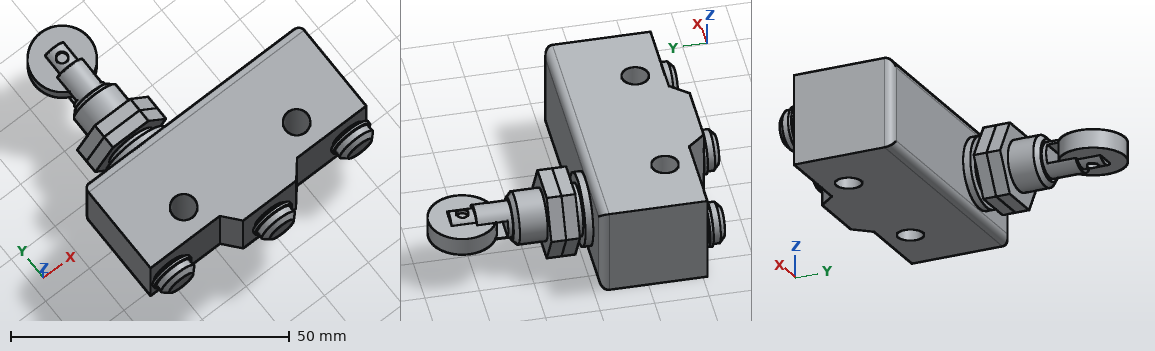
import cadquery as cq
import math


housing_width = 49.2
housing_height = 17.5
housing_depth = 19.6
housing_fillet = 1.6
boss_depth = 3.25
boss_half_base = 8.8
boss_half_tip = 6.0
mount_hole_diameter = 4.9
mount_hole_x = 12.9
mount_hole_y = -14.3

terminal_neck_diameter = 6.8
terminal_flange_diameter = 8.45
terminal_head_diameter = 7.55
terminal_tip_diameter = 5.5
terminal_neck_end = 0.55
terminal_flange_end = 1.15
terminal_chamfer_start = 2.55
terminal_length = 3.55

actuator_x = -11.6
bushing_diameter = 9.7
bushing_length = 14.0
bushing_chamfer = 0.95
bushing_flange_diameter = 13.6
bushing_flange_thickness = 1.45
nut_across_flats = 14.0
lower_nut_start = 2.7
lower_nut_thickness = 2.55
upper_nut_thickness = 2.7

plunger_diameter = 6.75
plunger_shoulder_y = 20.45
plunger_tip_diameter = 5.5
plunger_tip_end = 25.0
axle_hole_diameter = 2.2
slot_bottom_y = 14.85
roller_diameter = 12.5
roller_thickness = 3.65
roller_y = 22.6


def cylinder_along_y(x, start_y, diameter, length):
    """Cylinder on the z = 0 plane that runs from start_y toward +Y."""
    return cq.Workplane(
        cq.Solid.makeCylinder(diameter / 2, length, cq.Vector(x, start_y, 0), cq.Vector(0, 1, 0))
    )


def cylinder_along_z(x, y, diameter, height):
    """Cylinder parallel to Z and centred on the z = 0 plane."""
    base_center = cq.Vector(x, y, -height / 2)
    return cq.Workplane(cq.Solid.makeCylinder(diameter / 2, height, base_center, cq.Vector(0, 0, 1)))


def make_housing():
    half_width = housing_width / 2
    boss_y = -housing_depth - boss_depth
    body = (
        cq.Workplane("XY")
        .polyline([
            (-half_width, 0),
            (half_width, 0),
            (half_width, -housing_depth),
            (boss_half_base, -housing_depth),
            (boss_half_tip, boss_y),
            (-boss_half_tip, boss_y),
            (-boss_half_base, -housing_depth),
            (-half_width, -housing_depth),
        ])
        .close()
        .extrude(housing_height / 2, both=True)
        .faces(">Y")
        .edges()
        .fillet(housing_fillet)
    )
    for x in (-mount_hole_x, mount_hole_x):
        body = body.cut(cylinder_along_z(x, mount_hole_y, mount_hole_diameter, housing_height))
    return body


def make_terminal(x, seat_y):
    """Turned terminal that points toward -Y from its seat."""
    neck_radius = terminal_neck_diameter / 2
    flange_radius = terminal_flange_diameter / 2
    head_radius = terminal_head_diameter / 2
    return (
        cq.Workplane("XY")
        .polyline([
            (0, 0),
            (neck_radius, 0),
            (neck_radius, -terminal_neck_end),
            (flange_radius, -terminal_neck_end),
            (flange_radius, -terminal_flange_end),
            (head_radius, -terminal_flange_end),
            (head_radius, -terminal_chamfer_start),
            (terminal_tip_diameter / 2, -terminal_length),
            (0, -terminal_length),
        ])
        .close()
        .revolve(360, (0, 0, 0), (0, 1, 0))
        .translate((x, seat_y, 0))
    )


def make_bushing():
    """Flanged sleeve with a through bore for the plunger."""
    sleeve = cylinder_along_y(actuator_x, 0, bushing_diameter, bushing_length)
    sleeve = sleeve.faces(">Y").edges().chamfer(bushing_chamfer)
    flange = cylinder_along_y(actuator_x, 0, bushing_flange_diameter, bushing_flange_thickness)
    bore = cylinder_along_y(actuator_x, 0, plunger_diameter, bushing_length)
    return sleeve.union(flange).cut(bore)


def make_nut(start_y, thickness):
    """Hexagonal nut with corners on the +X and -X sides."""
    across_corners = nut_across_flats / math.cos(math.pi / 6)
    hexagon = (
        cq.Workplane("XZ", origin=(actuator_x, start_y, 0))
        .polygon(6, across_corners)
        .extrude(-thickness)
    )
    return hexagon.cut(cylinder_along_y(actuator_x, start_y, bushing_diameter, thickness))


def make_plunger():
    """Stepped rod, forked by a slot for the roller and cross-drilled."""
    rod = cylinder_along_y(actuator_x, 0, plunger_diameter, plunger_shoulder_y)
    tip = cylinder_along_y(actuator_x, 0, plunger_tip_diameter, plunger_tip_end)
    slot_length = plunger_tip_end - slot_bottom_y
    slot = (
        cq.Workplane("XY")
        .box(plunger_diameter, slot_length, roller_thickness)
        .translate((actuator_x, slot_bottom_y + slot_length / 2, 0))
    )
    axle_hole = cylinder_along_z(actuator_x, roller_y, axle_hole_diameter, plunger_diameter)
    return rod.union(tip).cut(slot).cut(axle_hole)


def make_roller():
    return cylinder_along_z(actuator_x, roller_y, roller_diameter, roller_thickness)


housing = make_housing()

outer_terminal_x = (housing_width - terminal_flange_diameter) / 2
terminal_seats = [
    (-outer_terminal_x, -housing_depth),
    (0, -housing_depth - boss_depth),
    (outer_terminal_x, -housing_depth),
]
terminals = [make_terminal(x, seat_y).solids().val() for x, seat_y in terminal_seats]

bushing = make_bushing()

upper_nut_start = lower_nut_start + lower_nut_thickness
nut_stack = [
    (lower_nut_start, lower_nut_thickness),
    (upper_nut_start, upper_nut_thickness),
]
nuts = [make_nut(start_y, thickness).solids().val() for start_y, thickness in nut_stack]

plunger = make_plunger()
roller = make_roller()

result = cq.Compound.makeCompound([
    housing.solids().val(),
    *terminals,
    bushing.solids().val(),
    *nuts,
    plunger.solids().val(),
    roller.solids().val(),
])